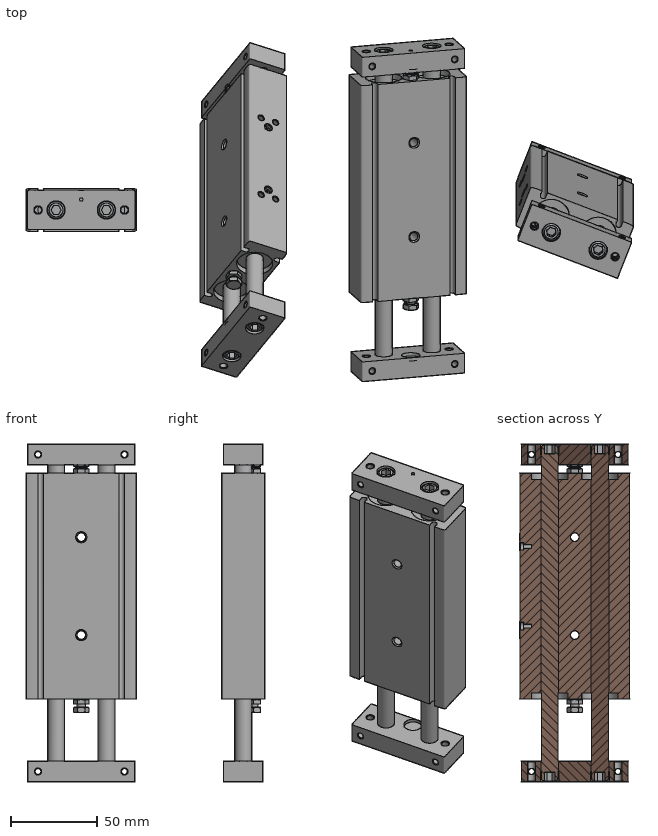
import cadquery as cq
import math

TOTAL_HEIGHT = 195.8
PLATE_LENGTH = 62.0
PLATE_DEPTH = 23.0
PLATE_THICKNESS = 12.0
PLATE_CORNER_RADIUS = 0.4
TOP_PLATE_BOTTOM = TOTAL_HEIGHT - PLATE_THICKNESS

HOUSING_WIDTH = 64.0
HOUSING_DEPTH = 25.0
HOUSING_HEIGHT = 131.0
HOUSING_BOTTOM = PLATE_THICKNESS + 36.0
HOUSING_TOP = HOUSING_BOTTOM + HOUSING_HEIGHT
HOUSING_MIDDLE = (HOUSING_BOTTOM + HOUSING_TOP) / 2
FLAT_HALF_WIDTH = 28.0
EDGE_DROP = 0.4
HOUSING_CORNER_RADIUS = 1.0

GROOVE_X = 23.5
GROOVE_WIDTH = 3.3
GROOVE_CENTRE_DEPTH = 2.5

ROD_SPACING = 29.2
ROD_X = ROD_SPACING / 2
ROD_DIAMETER = 10.0
ROD_END_CHAMFER = 1.0
ROD_END_RECESS = 0.5
ROD_COUNTERBORE_DIAMETER = 10.5
ROD_COUNTERBORE_DEPTH = 5.9
SOCKET_FLATS = 5.0
SOCKET_DEPTH = 4.9

SEAL_DIAMETER = 21.0
SEAL_DEPTH = 3.5

PLATE_HOLE_X = 25.0
CROSS_HOLE_DIAMETER = 3.3
CROSS_HOLE_MOUTH = 4.1
END_HOLE_DIAMETER = 4.1
END_HOLE_MOUTH = 4.9

MOUNT_HOLE_OFFSET = 28.4
MOUNT_HOLE_DIAMETER = 4.9
MOUNT_HOLE_MOUTH = 6.5
SIDE_HOLE_Y = 4.7
SIDE_HOLE_DIAMETER = 3.3
SIDE_HOLE_MOUTH = 4.1
SIDE_HOLE_DEPTH = 5.9
PORT_OFFSET = 23.1
PORT_DIAMETER = 4.1
PORT_MOUTH = 5.0
PORT_DEPTH = 2.3
PORT_PILOT_DIAMETER = 2.0
PORT_PILOT_DEPTH = 6.9

STOP_Y = 6.0
STOP_SHANK_DIAMETER = 5.0
STOP_INSERT_DEPTH = 9.8
HEX_FLATS = 8.0
HEX_FACE_DIAMETER = 6.9
NUT_HEIGHT = 3.0
HEAD_HEIGHT = 3.3
UPPER_HEAD_GAP = 0.5
LOWER_HEAD_GAP = 1.5
HEX_BEVEL = math.radians(30)
STOP_POCKET_DIAMETER = 10.5
STOP_POCKET_DEPTH = 2.0
SIGHT_HOLE_DIAMETER = 2.0


def cylinder(diameter, height, bottom):
    """Vertical cylinder on the Z axis."""
    return cq.Workplane("XY").workplane(offset=bottom).circle(diameter / 2).extrude(height)


def blind_hole(hole_diameter, mouth_diameter, depth):
    """Cutter along +Z from the origin: a flat-bottomed hole with a 45 degree countersunk mouth."""
    hole_radius = hole_diameter / 2
    mouth_radius = mouth_diameter / 2
    return (
        cq.Workplane("XZ")
        .lineTo(mouth_radius, 0)
        .lineTo(hole_radius, mouth_radius - hole_radius)
        .lineTo(hole_radius, depth)
        .lineTo(0, depth)
        .close()
        .revolve(360, (0, 0, 0), (0, 1, 0))
    )


def through_hole(hole_diameter, mouth_diameter, length):
    """Cutter along +Z from the origin: a through hole countersunk at both ends."""
    hole_radius = hole_diameter / 2
    mouth_radius = mouth_diameter / 2
    mouth_depth = mouth_radius - hole_radius
    return (
        cq.Workplane("XZ")
        .lineTo(mouth_radius, 0)
        .lineTo(hole_radius, mouth_depth)
        .lineTo(hole_radius, length - mouth_depth)
        .lineTo(mouth_radius, length)
        .lineTo(0, length)
        .close()
        .revolve(360, (0, 0, 0), (0, 1, 0))
    )


def along_y(cutter, depth, x, z):
    """Turn a +Z cutter to +Y and start it on the front face of a part of this depth."""
    return cutter.rotate((0, 0, 0), (1, 0, 0), -90).translate((x, -depth / 2, z))


def make_housing_block():
    half_width = HOUSING_WIDTH / 2
    half_depth = HOUSING_DEPTH / 2
    edge_y = half_depth - EDGE_DROP
    run = half_width - FLAT_HALF_WIDTH
    radius = (run ** 2 + EDGE_DROP ** 2) / (2 * EDGE_DROP)
    mid_angle = math.asin(run / radius) / 2
    mid_x = FLAT_HALF_WIDTH + radius * math.sin(mid_angle)
    mid_y = half_depth - radius * (1 - math.cos(mid_angle))
    return (
        cq.Workplane("XY")
        .workplane(offset=HOUSING_BOTTOM)
        .moveTo(-FLAT_HALF_WIDTH, -half_depth)
        .lineTo(FLAT_HALF_WIDTH, -half_depth)
        .threePointArc((mid_x, -mid_y), (half_width, -edge_y))
        .lineTo(half_width, edge_y)
        .threePointArc((mid_x, mid_y), (FLAT_HALF_WIDTH, half_depth))
        .lineTo(-FLAT_HALF_WIDTH, half_depth)
        .threePointArc((-mid_x, mid_y), (-half_width, edge_y))
        .lineTo(-half_width, -edge_y)
        .threePointArc((-mid_x, -mid_y), (-FLAT_HALF_WIDTH, -half_depth))
        .close()
        .extrude(HOUSING_HEIGHT)
        .edges("|Z and (<X or >X)")
        .fillet(HOUSING_CORNER_RADIUS)
    )


def cut_grooves(housing):
    centre_y = HOUSING_DEPTH / 2 - GROOVE_CENTRE_DEPTH
    for x in (-GROOVE_X, GROOVE_X):
        for side in (-1, 1):
            mouth_y = side * (centre_y + GROOVE_CENTRE_DEPTH / 2)
            round_part = cylinder(GROOVE_WIDTH, HOUSING_HEIGHT, HOUSING_BOTTOM)
            mouth = cq.Workplane("XY").box(GROOVE_WIDTH, GROOVE_CENTRE_DEPTH, HOUSING_HEIGHT)
            housing = housing.cut(round_part.translate((x, side * centre_y, 0)))
            housing = housing.cut(mouth.translate((x, mouth_y, HOUSING_MIDDLE)))
    return housing


def cut_rod_bores(housing):
    for x in (-ROD_X, ROD_X):
        housing = housing.cut(cylinder(ROD_DIAMETER, HOUSING_HEIGHT, HOUSING_BOTTOM).translate((x, 0, 0)))
        for bottom in (HOUSING_BOTTOM, HOUSING_TOP - SEAL_DEPTH):
            housing = housing.cut(cylinder(SEAL_DIAMETER, SEAL_DEPTH, bottom).translate((x, 0, 0)))
    return housing


def cut_housing_holes(housing):
    mount_hole = through_hole(MOUNT_HOLE_DIAMETER, MOUNT_HOLE_MOUTH, HOUSING_DEPTH)
    side_hole = blind_hole(SIDE_HOLE_DIAMETER, SIDE_HOLE_MOUTH, SIDE_HOLE_DEPTH)
    port = blind_hole(PORT_DIAMETER, PORT_MOUTH, PORT_DEPTH)
    port = port.union(cylinder(PORT_PILOT_DIAMETER, PORT_PILOT_DEPTH, 0))
    side_hole = side_hole.rotate((0, 0, 0), (0, 1, 0), 90)
    port = port.rotate((0, 0, 0), (0, 1, 0), 90)
    side_x = -HOUSING_WIDTH / 2
    for end in (-1, 1):
        mount_z = HOUSING_MIDDLE + end * MOUNT_HOLE_OFFSET
        housing = housing.cut(along_y(mount_hole, HOUSING_DEPTH, 0, mount_z))
        housing = housing.cut(port.translate((side_x, 0, HOUSING_MIDDLE + end * PORT_OFFSET)))
        for y in (-SIDE_HOLE_Y, SIDE_HOLE_Y):
            housing = housing.cut(side_hole.translate((side_x, y, mount_z)))
    return housing


def make_housing():
    housing = make_housing_block()
    housing = cut_grooves(housing)
    housing = cut_rod_bores(housing)
    housing = cut_housing_holes(housing)
    for bottom in (HOUSING_BOTTOM, HOUSING_TOP - STOP_INSERT_DEPTH):
        stop_hole = cylinder(STOP_SHANK_DIAMETER, STOP_INSERT_DEPTH, bottom)
        housing = housing.cut(stop_hole.translate((0, STOP_Y, 0)))
    return housing


def make_plate(bottom, pocket_bottom, counterbore_bottom):
    """End plate with rod holes, tapped holes and a pocket for the stop bolt head."""
    plate = (
        cq.Workplane("XY")
        .box(PLATE_LENGTH, PLATE_DEPTH, PLATE_THICKNESS, centered=(True, True, False))
        .edges("|Z")
        .fillet(PLATE_CORNER_RADIUS)
        .translate((0, 0, bottom))
    )
    cross_hole = through_hole(CROSS_HOLE_DIAMETER, CROSS_HOLE_MOUTH, PLATE_DEPTH)
    end_hole = through_hole(END_HOLE_DIAMETER, END_HOLE_MOUTH, PLATE_THICKNESS)
    for side in (-1, 1):
        hole_x = side * PLATE_HOLE_X
        plate = plate.cut(along_y(cross_hole, PLATE_DEPTH, hole_x, bottom + PLATE_THICKNESS / 2))
        plate = plate.cut(end_hole.translate((hole_x, 0, bottom)))
        rod_hole = cylinder(ROD_DIAMETER, PLATE_THICKNESS, bottom).union(
            cylinder(ROD_COUNTERBORE_DIAMETER, ROD_COUNTERBORE_DEPTH, counterbore_bottom)
        )
        plate = plate.cut(rod_hole.translate((side * ROD_X, 0, 0)))
    pocket = cylinder(STOP_POCKET_DIAMETER, STOP_POCKET_DEPTH, pocket_bottom)
    return plate.cut(pocket.translate((0, STOP_Y, 0)))


def make_bottom_plate():
    return make_plate(0, PLATE_THICKNESS - STOP_POCKET_DEPTH, 0)


def make_top_plate():
    """End plate that also has a small sight hole above its stop bolt."""
    plate = make_plate(TOP_PLATE_BOTTOM, TOP_PLATE_BOTTOM, TOTAL_HEIGHT - ROD_COUNTERBORE_DEPTH)
    sight_hole = cylinder(SIGHT_HOLE_DIAMETER, PLATE_THICKNESS, TOP_PLATE_BOTTOM)
    return plate.cut(sight_hole.translate((0, STOP_Y, 0)))


def make_rod(x):
    """Full-length guide rod with chamfered ends and a hexagon socket in each."""
    length = TOTAL_HEIGHT - 2 * ROD_END_RECESS
    rod = cylinder(ROD_DIAMETER, length, ROD_END_RECESS).faces("<Z or >Z").chamfer(ROD_END_CHAMFER)
    corner_diameter = SOCKET_FLATS / math.cos(math.pi / 6)
    socket = cq.Workplane("XY").polygon(6, corner_diameter).extrude(SOCKET_DEPTH)
    rod = rod.cut(socket.translate((0, 0, ROD_END_RECESS)))
    rod = rod.cut(socket.translate((0, 0, ROD_END_RECESS + length - SOCKET_DEPTH)))
    return rod.translate((x, 0, 0))


def hexagon(height, top_diameter):
    """Hexagonal prism on Z = 0 whose top corners are bevelled by a cone, leaving a round top face."""
    corner_diameter = HEX_FLATS / math.cos(math.pi / 6)
    top_radius = top_diameter / 2
    base_radius = top_radius + height / math.tan(HEX_BEVEL)
    cone = (
        cq.Workplane("XZ")
        .lineTo(base_radius, 0)
        .lineTo(top_radius, height)
        .lineTo(0, height)
        .close()
        .revolve(360, (0, 0, 0), (0, 1, 0))
    )
    return cq.Workplane("XY").polygon(6, corner_diameter).extrude(height).intersect(cone)


def make_head():
    """Bolt head on Z = 0, fully bevelled at its top and lightly at its bottom."""
    lower_bevel = hexagon(HEAD_HEIGHT, HEX_FLATS).mirror("XY").translate((0, 0, HEAD_HEIGHT))
    return hexagon(HEAD_HEIGHT, HEX_FACE_DIAMETER).intersect(lower_bevel)


def make_stop(nut_bottom, head, shank_bottom, shank_top):
    """Stop bolt together with the lock nut that rests on the housing."""
    shank = cylinder(STOP_SHANK_DIAMETER, shank_top - shank_bottom, shank_bottom)
    nut = hexagon(NUT_HEIGHT, HEX_FACE_DIAMETER).translate((0, 0, nut_bottom))
    return shank.union(nut).union(head).translate((0, STOP_Y, 0))


def make_upper_stop():
    head_bottom = HOUSING_TOP + NUT_HEIGHT + UPPER_HEAD_GAP
    head = make_head().mirror("XY").translate((0, 0, head_bottom + HEAD_HEIGHT))
    return make_stop(HOUSING_TOP, head, HOUSING_TOP - STOP_INSERT_DEPTH, head_bottom)


def make_lower_stop():
    nut_bottom = HOUSING_BOTTOM - NUT_HEIGHT
    head_top = nut_bottom - LOWER_HEAD_GAP
    head = make_head().translate((0, 0, head_top - HEAD_HEIGHT))
    return make_stop(nut_bottom, head, head_top, HOUSING_BOTTOM + STOP_INSERT_DEPTH)


housing = make_housing()
bottom_plate = make_bottom_plate()
top_plate = make_top_plate()
rods = [make_rod(x) for x in (-ROD_X, ROD_X)]
upper_stop = make_upper_stop()
lower_stop = make_lower_stop()

result = cq.Compound.makeCompound(
    [
        housing.val(),
        bottom_plate.val(),
        top_plate.val(),
        *[rod.val() for rod in rods],
        upper_stop.val(),
        lower_stop.val(),
    ]
)